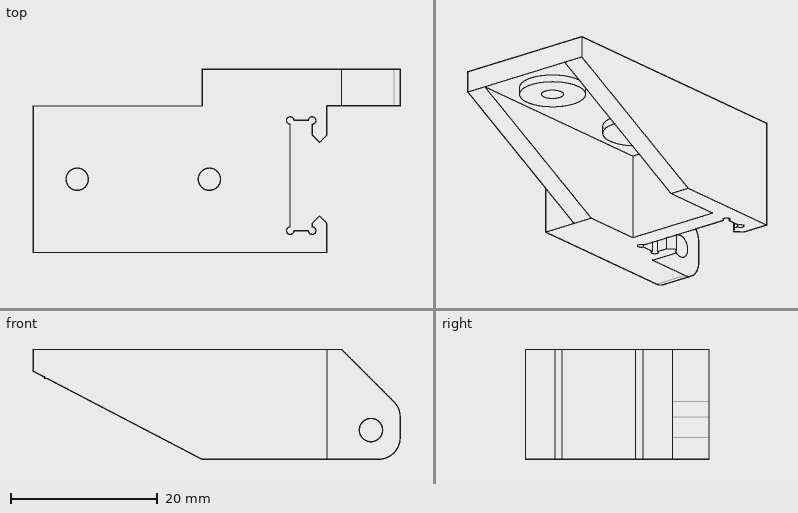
import cadquery as cq

body_length = 40.0
body_width = 20.0
height = 15.0
plate_thickness = 3.0
ramp_end_x = 23.0
wall = 3.0

arm_length = 50.0
arm_thickness = 5.0
arm_slope_x = 42.0
arm_corner_z = height - (arm_length - arm_slope_x)
arm_radius = 3.0
pivot_diameter = 3.15
pivot_x = 46.0
pivot_z = 4.0

screw_xs = (6.0, 24.0)
screw_diameter = 3.0
boss_diameter = 9.0
boss_height = 1.0

slot_back_x = 35.0
lip_thickness = 2.0
slot_front_x = body_length - lip_thickness
slot_low_y = 3.0
slot_high_y = 18.0
lip_low_y = 5.0
lip_high_y = 15.0
lip_bevel = lip_thickness / 2
relief_diameter = 1.0


def make_body():
    """Ramped block with an open-bottomed pocket between its side walls."""
    side = [
        (0, height),
        (0, height - plate_thickness),
        (ramp_end_x, 0),
        (body_length, 0),
        (body_length, height),
    ]
    block = cq.Workplane("XZ").polyline(side).close().extrude(-body_width)
    pocket = cq.Workplane("XY").box(
        slot_back_x - wall,
        body_width - 2 * wall,
        height - plate_thickness,
        centered=False,
    ).translate((0, wall, 0))
    return block.cut(pocket)


def make_arm():
    """Hinge arm along the +Y side, with a rounded end and a pivot hole."""
    side = [
        (ramp_end_x, 0),
        (arm_length, 0),
        (arm_length, arm_corner_z),
        (arm_slope_x, height),
        (ramp_end_x, height),
    ]
    arm = cq.Workplane("XZ", origin=(0, body_width, 0)).polyline(side).close().extrude(-arm_thickness)
    end_corners = cq.selectors.BoxSelector(
        (arm_length - 0.5, body_width, -0.5),
        (arm_length + 0.5, body_width + arm_thickness, arm_corner_z + 0.5),
    )
    arm = arm.edges("|Y").edges(end_corners).fillet(arm_radius)
    pivot = (
        cq.Workplane("XZ", origin=(0, body_width, 0))
        .center(pivot_x, pivot_z)
        .circle(pivot_diameter / 2)
        .extrude(-arm_thickness)
    )
    return arm.cut(pivot)


def screw_cylinders(diameter, bottom_z):
    """Cylinders at the screw positions, reaching up to the top face."""
    return (
        cq.Workplane("XY", origin=(0, body_width / 2, bottom_z))
        .pushPoints([(x, 0) for x in screw_xs])
        .circle(diameter / 2)
        .extrude(height - bottom_z)
    )


def make_slot():
    """Vertical slot with pointed lips at its mouth and round corner reliefs."""
    lip_tip_x = slot_front_x + lip_bevel
    outline = [
        (slot_back_x, slot_low_y),
        (slot_front_x, slot_low_y),
        (slot_front_x, lip_low_y - lip_bevel),
        (lip_tip_x, lip_low_y),
        (body_length, lip_low_y - lip_bevel),
        (body_length, lip_high_y + lip_bevel),
        (lip_tip_x, lip_high_y),
        (slot_front_x, lip_high_y + lip_bevel),
        (slot_front_x, slot_high_y),
        (slot_back_x, slot_high_y),
    ]
    slot = cq.Workplane("XY").polyline(outline).close().extrude(height)
    corners = [(x, y) for x in (slot_back_x, slot_front_x) for y in (slot_low_y, slot_high_y)]
    reliefs = cq.Workplane("XY").pushPoints(corners).circle(relief_diameter / 2).extrude(height)
    return slot.union(reliefs)


boss_bottom_z = height - plate_thickness - boss_height
result = (
    make_body()
    .union(make_arm())
    .union(screw_cylinders(boss_diameter, boss_bottom_z))
    .cut(screw_cylinders(screw_diameter, boss_bottom_z))
    .cut(make_slot())
)